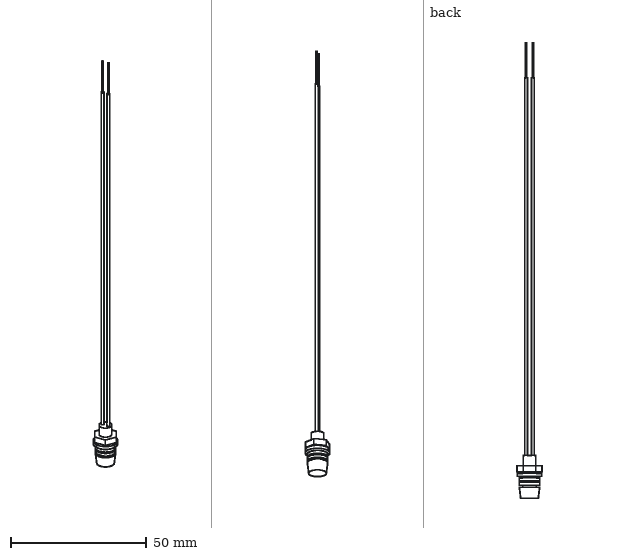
import cadquery as cq
import math

total_height = 168.4

tip_height = 4.19
tip_small_radius = 3.30
tip_large_radius = 3.81

core_radius = 2.54
rib_radius = 3.81
flange_radius = 4.57
rib_thickness = 1.143
rib_gap = 0.508
rib_pitch = rib_thickness + rib_gap
first_rib_z = 4.826
flange_z = first_rib_z + 2 * rib_pitch

hex_across_flats = 8.0
hex_across_corners = hex_across_flats / math.cos(math.radians(30))
hex_thickness = 2.286
hex_z = flange_z + rib_pitch
hex_top_z = hex_z + hex_thickness

sleeve_radius = 2.40
sleeve_height = 3.81
sleeve_top_z = hex_top_z + sleeve_height

wire_offset = 1.246
insulation_radius = 0.563
conductor_radius = 0.254
conductor_length = 13.07
insulation_top_z = total_height - conductor_length


def cylinder(radius, bottom_z, top_z, x=0.0):
    """Upright cylinder between two heights, centred on (x, 0)."""
    base = cq.Workplane("XY", origin=(x, 0, bottom_z))
    return base.circle(radius).extrude(top_z - bottom_z)


def make_tip():
    """Cone frustum that narrows towards z = 0."""
    outline = [
        (0, 0),
        (tip_small_radius, 0),
        (tip_large_radius, tip_height),
        (0, tip_height),
    ]
    return cq.Workplane("XZ").polyline(outline).close().revolve(360, (0, 0), (0, 1))


def make_housing():
    """Core with two ribs, the flange and the hexagonal head, separated by equal gaps."""
    housing = cylinder(core_radius, tip_height, hex_top_z)
    ring_radii = (rib_radius, rib_radius, flange_radius)
    for index, radius in enumerate(ring_radii):
        bottom_z = first_rib_z + index * rib_pitch
        housing = housing.union(cylinder(radius, bottom_z, bottom_z + rib_thickness))
    head = cq.Workplane("XY", origin=(0, 0, hex_z)).polygon(6, hex_across_corners).extrude(hex_thickness)
    return housing.union(head)


def make_sleeve():
    """Round sleeve standing on the hexagonal head."""
    return cylinder(sleeve_radius, hex_top_z, sleeve_top_z)


def make_insulation(x):
    """Insulated length of one wire, starting at the sleeve."""
    return cylinder(insulation_radius, sleeve_top_z, insulation_top_z, x)


def make_conductor(x):
    """Bare end of one wire."""
    return cylinder(conductor_radius, insulation_top_z, total_height, x)


tip = make_tip()
housing = make_housing()
sleeve = make_sleeve()

wires = []
for wire_x in (-wire_offset, wire_offset):
    wires.append(make_insulation(wire_x).val())
    wires.append(make_conductor(wire_x).val())

result = cq.Compound.makeCompound([tip.val(), housing.val(), sleeve.val(), *wires])